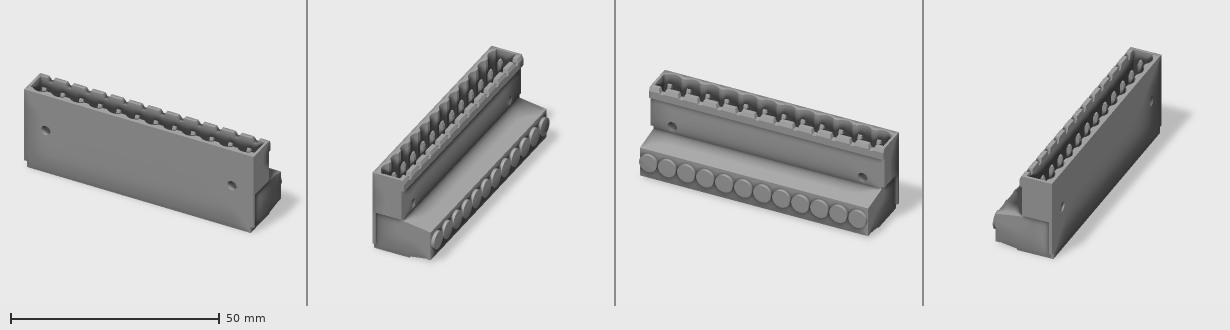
import cadquery as cq

length = 62.6
height = 22.0
pole_count = 12
pole_span = 55.9
pole_pitch = pole_span / (pole_count - 1)
first_pole = (length - pole_span) / 2
poles = [first_pole + i * pole_pitch for i in range(pole_count)]

housing_depth = 7.9
housing_bottom = 10.75
skirt_thickness = 0.75
skirt_bottom = 1.7

lip_rear = 8.6
lip_bottom = 19.0
lip_bevel_bottom = 21.0
lip_top_rear = 8.15

body_inset = 0.8
body_rear = 15.25
body_top_front = 10.0
body_top_rear = 8.9
foot_rear = 9.65
foot_step = 0.4
toe_front = 14.15
toe_bottom = 0.95
toe_step = 0.1

end_wall = 0.7
cavity_front = 1.75
cavity_rear = 7.0
cavity_floor = 13.75
scallop_radius = 2.6
scallop_front = 0.9

notch_top_width = 1.75
notch_bottom_width = 1.0
notch_bottom = 20.8

pin_width = 1.0
pin_y = 4.0
pin_top = 21.15
pin_bevel = 0.3
pin_bevel_height = 0.95

screw_diameter = 4.7
screw_z = 5.5
screw_rear = 16.15

hole_diameter = 2.5
hole_z = 12.0
hole_x = [first_pole + pole_pitch / 2, poles[-1] - pole_pitch / 2]


def block(x_range, y_range, z_range):
    size = [high - low for low, high in (x_range, y_range, z_range)]
    corner = (x_range[0], y_range[0], z_range[0])
    return cq.Workplane("XY").box(*size, centered=False).translate(corner)


def profile_along_x(points, start, distance):
    """Extrude a closed (Y, Z) outline along X."""
    return cq.Workplane("YZ", origin=(start, 0, 0)).polyline(points).close().extrude(distance)


def make_housing():
    outline = [
        (0, housing_bottom),
        (0, height),
        (lip_top_rear, height),
        (lip_rear, lip_bevel_bottom),
        (lip_rear, lip_bottom),
        (housing_depth, lip_bottom),
        (housing_depth, housing_bottom),
    ]
    skirt = block((0, length), (0, skirt_thickness), (skirt_bottom, housing_bottom))
    return profile_along_x(outline, 0, length).union(skirt)


def make_body():
    outline = [
        (0, 0),
        (0, housing_bottom),
        (housing_depth, housing_bottom),
        (housing_depth, body_top_front),
        (body_rear, body_top_rear),
        (body_rear, toe_bottom),
        (toe_front, toe_bottom),
        (toe_front, toe_bottom + toe_step),
        (foot_rear, foot_step),
        (foot_rear, 0),
    ]
    return profile_along_x(outline, body_inset, length - 2 * body_inset)


def make_cavity():
    """Rectangular pocket whose front wall is scalloped around every pole."""
    x_range = (end_wall, length - end_wall)
    pocket = block(x_range, (cavity_front, cavity_rear), (cavity_floor, height))
    for x in poles:
        scallop_center = (x, scallop_front + scallop_radius, cavity_floor)
        scallop = cq.Workplane("XY", origin=scallop_center).circle(scallop_radius)
        pocket = pocket.union(scallop.extrude(height - cavity_floor))
    return pocket


def make_notch(x):
    """Slot through the rear cavity wall that widens towards the top."""
    half_top = notch_top_width / 2
    half_bottom = notch_bottom_width / 2
    return (
        cq.Workplane("XZ", origin=(x, lip_rear, 0))
        .polyline([
            (-half_top, height),
            (-half_bottom, notch_bottom),
            (half_bottom, notch_bottom),
            (half_top, height),
        ])
        .close()
        .extrude(lip_rear - cavity_rear)
    )


def make_pin(x):
    """Square pin standing on the cavity floor, bevelled front and back at the tip."""
    half = pin_width / 2
    tip_half = half - pin_bevel
    shoulder = pin_top - pin_bevel_height
    outline = [
        (pin_y - half, cavity_floor),
        (pin_y - half, shoulder),
        (pin_y - tip_half, pin_top),
        (pin_y + tip_half, pin_top),
        (pin_y + half, shoulder),
        (pin_y + half, cavity_floor),
    ]
    return profile_along_x(outline, x - half, pin_width)


def make_screws():
    return (
        cq.Workplane("XZ", origin=(0, screw_rear, 0))
        .pushPoints([(x, screw_z) for x in poles])
        .circle(screw_diameter / 2)
        .extrude(screw_rear - body_rear)
    )


def make_mounting_holes():
    return (
        cq.Workplane("XZ", origin=(0, housing_depth, 0))
        .pushPoints([(x, hole_z) for x in hole_x])
        .circle(hole_diameter / 2)
        .extrude(housing_depth)
    )


result = make_housing().union(make_body()).cut(make_cavity())
for pole in poles:
    result = result.cut(make_notch(pole)).union(make_pin(pole))
result = result.union(make_screws()).cut(make_mounting_holes())